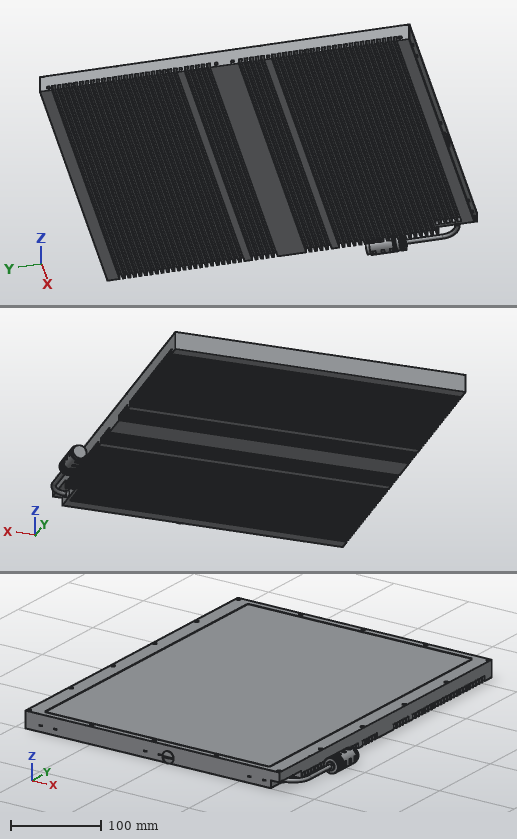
import cadquery as cq
import math


housing_length_x = 340.0
housing_length_y = 419.5
housing_height = 21.0
half_x = housing_length_x / 2
half_y = housing_length_y / 2

window_size_x = 301.3
window_size_y = 401.7
window_corner_radius = 2.5
window_depth = 1.0

screw_inset = 3.0
screw_columns = 5
screw_rows = 6
screw_hole_diameter = 2.0
screw_sink_diameter = 4.5
screw_sink_angle = 90
screw_hole_depth = 4.2

slots_per_group = 29
nearest_slot = 18.0
farthest_slot = 194.0
slot_pitch = (farthest_slot - nearest_slot) / (slots_per_group - 1)
slot_width = 4.0
slot_depth = 6.0
omitted_slot = 5
blind_slot_count = 5

side_hole_offsets = [9.3, 50.0, 200.0]
side_hole_diameter = 3.5
side_hole_height = 4.2
side_hole_depth = 8.5

notch_width = 11.5
notch_length = 43.0
notch_height = 9.3
notch_wall = 4.2
notch_wall_x = half_x - notch_width

plate_thickness = 1.0
plate_face_y = -half_y - plate_thickness
slit_offsets = [9.5, 130.0, 150.0]
slit_length = 3.5
slit_width = 1.0
slit_height = 7.5
plug_x = 21.5
plug_z = 7.0
plug_diameter = 14.8
plug_rim_height = 1.0
plug_crown_height = 1.5
driver_slot_width = 1.3
driver_slot_depth = 1.0

connector_radius = 9.3
connector_x = 182.0
connector_z = 4.5
connector_tip_y = -82.5
cable_radius = 2.5
cable_bend_start_y = -168.8
cable_bend_radius = 21.0
collar_radius = 4.0
collar_length = 3.5

nose_radius = 8.0
waist_radius = 8.5
tail_radius = 5.0
nose_length = 4.2
grip_length = 26.5
waist_length = 4.0
ring_length = 1.5
connector_steps = [
    (nose_length, nose_radius),
    (grip_length, connector_radius),
    (ring_length, waist_radius),
    (ring_length, connector_radius),
    (waist_length, waist_radius),
    (ring_length, connector_radius),
    (ring_length, waist_radius),
    (ring_length, connector_radius),
    (ring_length, tail_radius),
]

recess_count = 4
recess_rows = 3
recess_pitch = 9.5
recess_first = 8.5
recess_length = 3.5
recess_width = 5.0
recess_depth = 0.5


def mirrored(offsets):
    """Offsets on both sides of a centre."""
    return [sign * offset for offset in offsets for sign in (-1, 1)]


def screw_points():
    """Centres of the screw holes, evenly spaced around the rim."""
    reach_x = half_x - screw_inset
    reach_y = half_y - screw_inset
    step_x = 2 * reach_x / (screw_columns - 1)
    step_y = 2 * reach_y / (screw_rows - 1)
    ends = [(-reach_x + i * step_x, y) for i in range(screw_columns) for y in (-reach_y, reach_y)]
    sides = [(x, -reach_y + i * step_y) for i in range(1, screw_rows - 1) for x in (-reach_x, reach_x)]
    return ends + sides


def cut_notch(body):
    """Cut the cable notch from the -Y face inwards at the lower +X corner."""
    notch = (
        cq.Workplane("XY")
        .box(notch_width, notch_length + plate_thickness, notch_height, centered=False)
        .translate((notch_wall_x, plate_face_y, 0))
    )
    return body.cut(notch)


def make_slot(y, end_x):
    """Cutter for one cooling slot from the -X side to end_x."""
    return (
        cq.Workplane("XY")
        .box(end_x + half_x, slot_width, slot_depth, centered=(False, True, False))
        .translate((-half_x, y, 0))
    )


def cut_cooling_slots(body):
    """Cut the slots; the outermost ones at the -Y end stop short of the notch."""
    for i in range(slots_per_group):
        if i == omitted_slot:
            continue
        y = nearest_slot + i * slot_pitch
        is_blind = i >= slots_per_group - blind_slot_count
        end_x = notch_wall_x - notch_wall if is_blind else half_x
        body = body.cut(make_slot(y, half_x))
        body = body.cut(make_slot(-y, end_x))
    return body


def make_housing():
    housing = cq.Workplane("XY").box(
        housing_length_x, housing_length_y, housing_height, centered=(True, True, False)
    )
    window = (
        cq.Workplane("XY", origin=(0, 0, housing_height - window_depth))
        .rect(window_size_x, window_size_y)
        .extrude(window_depth)
        .edges("|Z")
        .fillet(window_corner_radius)
    )
    housing = housing.cut(window)
    housing = (
        housing.faces(">Z")
        .workplane(origin=(0, 0, housing_height))
        .pushPoints(screw_points())
        .cskHole(screw_hole_diameter, screw_sink_diameter, screw_sink_angle, screw_hole_depth)
    )
    housing = cut_cooling_slots(housing)
    side_holes = (
        cq.Workplane("YZ", origin=(-half_x, 0, 0))
        .pushPoints([(y, side_hole_height) for y in mirrored(side_hole_offsets)])
        .circle(side_hole_diameter / 2)
        .extrude(side_hole_depth)
    )
    return cut_notch(housing.cut(side_holes))


def make_plug():
    """Domed plug, turned about the plate's normal, with a driver slot across it."""
    radius = plug_diameter / 2
    dome_height = plug_crown_height - plug_rim_height
    dome_radius = (radius**2 + dome_height**2) / (2 * dome_height)
    half_angle = math.asin(radius / dome_radius) / 2
    arc_middle = (
        dome_radius * math.sin(half_angle),
        plug_crown_height - dome_radius * (1 - math.cos(half_angle)),
    )
    plug = (
        cq.Workplane("XY")
        .lineTo(radius, 0)
        .lineTo(radius, plug_rim_height)
        .threePointArc(arc_middle, (0, plug_crown_height))
        .close()
        .revolve(360, (0, 0), (0, 1))
    )
    driver_slot = (
        cq.Workplane("XY")
        .box(plug_diameter, driver_slot_depth, driver_slot_width, centered=(True, False, True))
        .translate((0, plug_crown_height - driver_slot_depth, 0))
    )
    plug = plug.cut(driver_slot).rotate((0, 0, 0), (0, 0, 1), 180)
    return plug.translate((plug_x, plate_face_y, plug_z))


def make_end_plate():
    plate = (
        cq.Workplane("XY")
        .box(housing_length_x, plate_thickness, housing_height, centered=(True, False, False))
        .translate((0, plate_face_y, 0))
    )
    slits = (
        cq.Workplane("XZ", origin=(0, -half_y, 0))
        .pushPoints([(x, slit_height) for x in mirrored(slit_offsets)])
        .rect(slit_length, slit_width)
        .extrude(plate_thickness)
    )
    return cut_notch(plate.cut(slits)).union(make_plug())


def make_connector():
    """Stepped connector about its own axis, from its tip at the origin towards -Y."""
    outline = cq.Workplane("XY")
    y = 0
    for length, radius in connector_steps:
        outline = outline.lineTo(radius, y)
        y -= length
        outline = outline.lineTo(radius, y)
    connector = outline.lineTo(0, y).close().revolve(360, (0, 0), (0, 1))
    for row in range(recess_rows):
        recess_y = -recess_first - row * recess_pitch
        recess = cq.Workplane("XY").box(recess_width, recess_length, 2 * recess_depth)
        recess = recess.translate((0, recess_y, connector_radius))
        for i in range(recess_count):
            turn = 360 * i / recess_count
            connector = connector.cut(recess.rotate((0, 0, 0), (0, 1, 0), turn))
    return connector.translate((connector_x, connector_tip_y, connector_z))


def make_cable():
    """Connector, bent cable, and the collar that seats against the notch wall."""
    connector_end_y = connector_tip_y - sum(length for length, radius in connector_steps)
    bend_end_x = connector_x - cable_bend_radius
    bend_end_y = cable_bend_start_y - cable_bend_radius
    path = (
        cq.Workplane("XY", origin=(0, 0, connector_z))
        .moveTo(connector_x, connector_end_y)
        .lineTo(connector_x, cable_bend_start_y)
        .tangentArcPoint((bend_end_x, bend_end_y), relative=False)
        .lineTo(notch_wall_x, bend_end_y)
    )
    cable = (
        cq.Workplane("XZ", origin=(connector_x, connector_end_y, connector_z))
        .circle(cable_radius)
        .sweep(path)
    )
    collar = (
        cq.Workplane("YZ", origin=(notch_wall_x, bend_end_y, connector_z))
        .circle(collar_radius)
        .extrude(collar_length)
    )
    return make_connector().union(cable).union(collar)


housing = make_housing()
end_plate = make_end_plate()
cable = make_cable()

result = cq.Compound.makeCompound([housing.val(), end_plate.val(), cable.val()])